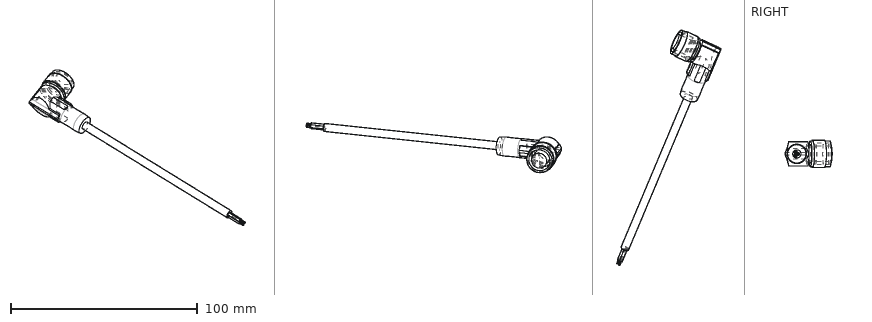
import cadquery as cq
import math


TILT = 8.0

NUT_RADIUS = 7.395
NUT_COLLAR_RADIUS = 6.98
NUT_REAR = 7.3
NUT_GRIP_START = 8.5
NUT_GRIP_END = 15.0
NUT_FRONT = 17.9
NUT_BORE_RADIUS = 5.8
NUT_BORE_FLOOR = 10.0
INSERT_RADIUS = 4.15
INSERT_FRONT = 18.59

HEAD_RADIUS = 6.5
HEAD_TOP = 5.8
HEAD_BOTTOM = -9.0
NECK_RADIUS = 4.9

RIDGE_HALF_WIDTH = 2.88
RIDGE_CREST_HALF_WIDTH = 0.65
RIDGE_RISE = 0.9
HEAD_RIDGE_CREST = 7.15
BODY_RIDGE_CREST = 6.2
BODY_RIDGE_END = 13.3
FACET_RISE = 0.95

BODY_RADIUS = 5.2
BODY_WAIST_RADIUS = 5.08
FLAT_HEIGHT = 4.95
FLAT_END = 14.3
FLAT_CORNER_RADIUS = 0.9
BODY_WAIST_START = 14.5
BODY_CAP_START = 23.3
BODY_END = 26.9
BODY_CAP_MIDDLE_RADIUS = 5.1
BODY_END_RADIUS = 4.9

CABLE_RADIUS = 2.2
CABLE_END = 126.5
WIRE_RADIUS = 0.82
WIRE_ROW_OFFSET = 0.56
WIRE_CENTRES = [
    (WIRE_ROW_OFFSET, 0),
    (-WIRE_ROW_OFFSET, WIRE_RADIUS),
    (-WIRE_ROW_OFFSET, -WIRE_RADIUS),
]
WIRE_END = 134.3
STRAND_RADIUS = 0.4
STRAND_END = 136.74
OVERLAP = 1.0

SIN_TILT = math.sin(math.radians(TILT))
COS_TILT = math.cos(math.radians(TILT))
HEAD_AXIS = (-SIN_TILT, COS_TILT, 0)
HEAD_SIDE = (COS_TILT, SIN_TILT, 0)


def head_plane(distance):
    """Plane square to the head axis; local x points away from the back of the head."""
    origin = tuple(distance * component for component in HEAD_AXIS)
    return cq.Workplane(cq.Plane(origin=origin, xDir=HEAD_SIDE, normal=HEAD_AXIS))


def head_disc(radius, start, end):
    return head_plane(start).circle(radius).extrude(end - start)


def cable_rod(radius, start, end, y=0, z=0):
    return cq.Workplane("YZ", origin=(start, 0, 0)).center(y, z).circle(radius).extrude(end - start)


def ridge_outline(crest):
    """Closed ridge section from the axis out to the crest, as (outward, across) points."""
    shoulder = crest - RIDGE_RISE
    return [
        (0, RIDGE_HALF_WIDTH),
        (shoulder, RIDGE_HALF_WIDTH),
        (crest, RIDGE_CREST_HALF_WIDTH),
        (crest, -RIDGE_CREST_HALF_WIDTH),
        (shoulder, -RIDGE_HALF_WIDTH),
        (0, -RIDGE_HALF_WIDTH),
    ]


def body_ridge(side):
    """Ridge along the cable exit, on the +Y (side = 1) or -Y (side = -1) face."""
    points = [(side * outward, across) for outward, across in ridge_outline(BODY_RIDGE_CREST)]
    return cq.Workplane("YZ").polyline(points).close().extrude(BODY_RIDGE_END)


def head_trim():
    """Long prism whose faceted -Y side shapes the underside of the head."""
    shoulder = RIDGE_RISE - BODY_RIDGE_CREST
    facet_edge = shoulder + FACET_RISE
    points = [
        (2 * HEAD_RADIUS, HEAD_RADIUS),
        (facet_edge, HEAD_RADIUS),
        (shoulder, RIDGE_HALF_WIDTH),
        (-BODY_RIDGE_CREST, RIDGE_CREST_HALF_WIDTH),
        (-BODY_RIDGE_CREST, -RIDGE_CREST_HALF_WIDTH),
        (shoulder, -RIDGE_HALF_WIDTH),
        (facet_edge, -HEAD_RADIUS),
        (2 * HEAD_RADIUS, -HEAD_RADIUS),
    ]
    return cq.Workplane("YZ").polyline(points).close().extrude(2 * HEAD_RADIUS, both=True)


def make_head():
    barrel = head_disc(HEAD_RADIUS, HEAD_BOTTOM, HEAD_TOP)
    points = [(-outward, across) for outward, across in ridge_outline(HEAD_RIDGE_CREST)]
    ridge = head_plane(HEAD_BOTTOM).polyline(points).close().extrude(HEAD_TOP - HEAD_BOTTOM)
    neck = head_disc(NECK_RADIUS, HEAD_TOP - OVERLAP, NUT_REAR + OVERLAP)
    return barrel.union(ridge).intersect(head_trim()).union(neck)


def make_nut():
    collars = head_disc(NUT_COLLAR_RADIUS, NUT_REAR, NUT_FRONT)
    grip = head_disc(NUT_RADIUS, NUT_GRIP_START, NUT_GRIP_END)
    bore = head_disc(NUT_BORE_RADIUS, NUT_BORE_FLOOR, NUT_FRONT)
    insert = head_disc(INSERT_RADIUS, NUT_BORE_FLOOR - OVERLAP, INSERT_FRONT)
    return collars.union(grip).cut(bore).union(insert)


def flat_cutter(side):
    """Block that mills the flat on the +Z (side = 1) or -Z (side = -1) face, rounded at its end."""
    width = 2 * math.sqrt(BODY_RADIUS ** 2 - FLAT_HEIGHT ** 2)
    block = cq.Workplane("XY").box(FLAT_END, width, BODY_RADIUS)
    block = block.edges("|Z and >X").fillet(FLAT_CORNER_RADIUS)
    return block.translate((FLAT_END / 2, 0, side * (FLAT_HEIGHT + BODY_RADIUS / 2)))


def make_body():
    waist_middle = (BODY_WAIST_START + BODY_CAP_START) / 2
    cap_middle = (BODY_CAP_START + BODY_END) / 2
    body = (
        cq.Workplane("XY")
        .lineTo(0, BODY_RADIUS)
        .lineTo(BODY_WAIST_START, BODY_RADIUS)
        .threePointArc((waist_middle, BODY_WAIST_RADIUS), (BODY_CAP_START, BODY_RADIUS))
        .threePointArc((cap_middle, BODY_CAP_MIDDLE_RADIUS), (BODY_END, BODY_END_RADIUS))
        .lineTo(BODY_END, 0)
        .close()
        .revolve(360, (0, 0, 0), (1, 0, 0))
    )
    body = body.cut(flat_cutter(1)).cut(flat_cutter(-1))
    return body.union(body_ridge(1)).union(body_ridge(-1))


def make_cable():
    cable = cable_rod(CABLE_RADIUS, BODY_END - OVERLAP, CABLE_END)
    for y, z in WIRE_CENTRES:
        cable = cable.union(cable_rod(WIRE_RADIUS, CABLE_END - OVERLAP, WIRE_END, y, z))
        cable = cable.union(cable_rod(STRAND_RADIUS, WIRE_END - OVERLAP, STRAND_END, y, z))
    return cable


result = make_head().union(make_nut()).union(make_body()).union(make_cable())